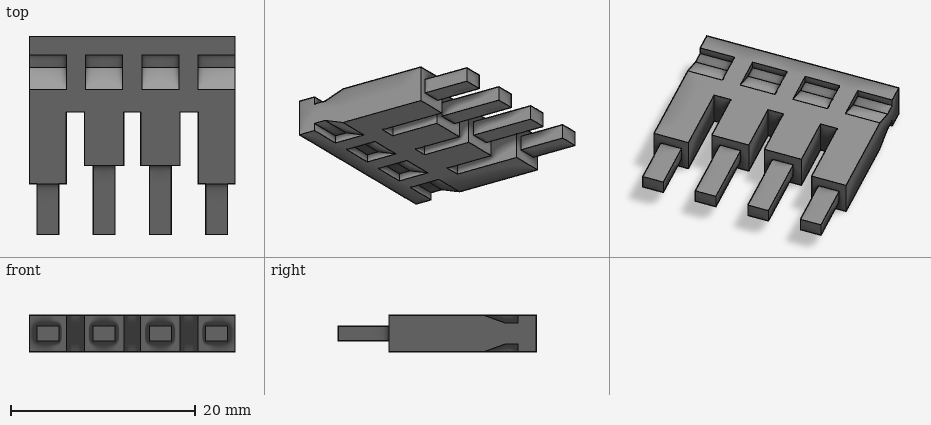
import cadquery as cq


PITCH = 6.1
POLE_COUNT = 4
TOTAL_LENGTH = 21.5

THICKNESS = 4.0
SPINE_LENGTH = 8.2
OUTER_PRONG_WIDTH = 4.0
OUTER_PRONG_END = 16.0
INNER_PRONG_WIDTH = 4.3
INNER_PRONG_END = 14.0
BODY_WIDTH = (POLE_COUNT - 1) * PITCH + OUTER_PRONG_WIDTH

PIN_WIDTH = 2.4
PIN_THICKNESS = 1.6

POCKET_WIDTH = 4.0
POCKET_DEPTH = 0.85
POCKET_REAR = 2.0
POCKET_RAMP_START = 3.4
POCKET_RAMP_END = 5.75

pole_positions = [(i - (POLE_COUNT - 1) / 2) * PITCH for i in range(POLE_COUNT)]


def bar(x_center, width, start, end, thickness):
    """Rectangular bar centred on Z = 0, spanning two distances from the rear edge."""
    length = end - start
    return cq.Workplane("XY").box(width, length, thickness).translate((x_center, -(start + end) / 2, 0))


def top_pocket(x_center):
    """Cutting wedge for one grip pocket in the upper face."""
    face = THICKNESS / 2
    floor = face - POCKET_DEPTH
    profile = [
        (-POCKET_REAR, face),
        (-POCKET_REAR, floor),
        (-POCKET_RAMP_START, floor),
        (-POCKET_RAMP_END, face),
    ]
    wedge = cq.Workplane("YZ").polyline(profile).close().extrude(POCKET_WIDTH / 2, both=True)
    return wedge.translate((x_center, 0, 0))


result = bar(0, BODY_WIDTH, 0, SPINE_LENGTH, THICKNESS)

for index, x in enumerate(pole_positions):
    is_outer = index in (0, POLE_COUNT - 1)
    prong_width = OUTER_PRONG_WIDTH if is_outer else INNER_PRONG_WIDTH
    prong_end = OUTER_PRONG_END if is_outer else INNER_PRONG_END
    result = result.union(bar(x, prong_width, 0, prong_end, THICKNESS))
    result = result.union(bar(x, PIN_WIDTH, prong_end, TOTAL_LENGTH, PIN_THICKNESS))

for x in pole_positions:
    pocket = top_pocket(x)
    result = result.cut(pocket).cut(pocket.mirror("XY"))